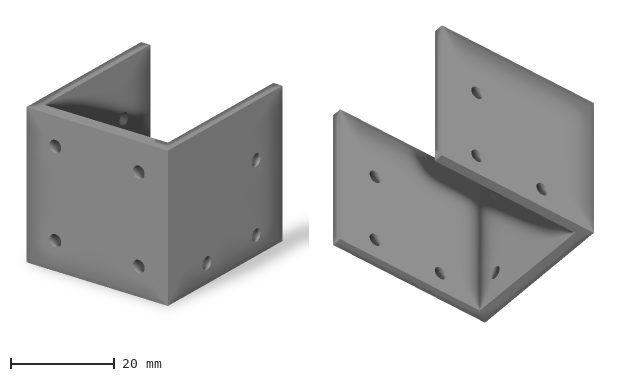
import cadquery as cq

width = 33.9
depth = 37.27
height = 33.0

side_wall = 2.2
web_left = 2.87
web_right = 3.02

hole_diameter = 2.8
web_hole_pitch = 20.0
side_hole_pitch = 16.0
side_hole_y = 12.67
side_hole_z = 4.4


def bracket_body():
    """U-shaped outline, open towards +Y, extruded upwards."""
    outline = [
        (0, 0),
        (width, 0),
        (width, depth),
        (width - side_wall, depth),
        (width - side_wall, web_right),
        (side_wall, web_left),
        (side_wall, depth),
        (0, depth),
    ]
    return cq.Workplane("XY").polyline(outline).close().extrude(height)


def web_holes():
    """Square pattern of four holes centred on the web."""
    return (
        cq.Workplane("XZ", origin=(width / 2, 0, height / 2))
        .rarray(web_hole_pitch, web_hole_pitch, 2, 2)
        .circle(hole_diameter / 2)
        .extrude(-depth / 2)
    )


def side_holes():
    """L-shaped pattern of three holes through both side walls."""
    far_y = side_hole_y + side_hole_pitch
    high_z = side_hole_z + side_hole_pitch
    centres = [(side_hole_y, side_hole_z), (far_y, side_hole_z), (far_y, high_z)]
    return cq.Workplane("YZ").pushPoints(centres).circle(hole_diameter / 2).extrude(width)


result = bracket_body().cut(web_holes()).cut(side_holes())